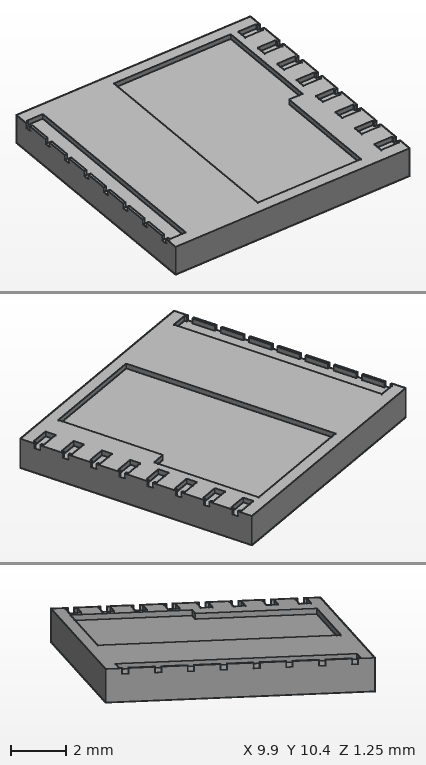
import cadquery as cq

plate_width = 9.9
plate_length = 10.38
plate_thickness = 1.25
half_length = plate_length / 2

contact_count = 8
contact_span = 8.45
contact_pitch = contact_span / (contact_count - 1)
pad_width = 0.44
recess_depth = 0.21
recess_floor_z = plate_thickness - recess_depth

lip_thickness = 0.1
notch_width = 0.24

pad_length = 0.8
trough_width = contact_span + pad_width
trough_length = 0.71

label_side_margin = 0.48
label_width = plate_width - 2 * label_side_margin
label_back_y = half_length - 1.21
label_front_y = half_length - 6.39
label_step = 0.6
label_stepped_y = label_back_y - label_step


def recess(x_centre, width, y_min, y_max):
    """Rectangular cutter from the recess floor to the top face, centred on x_centre."""
    block = cq.Workplane("XY").box(width, y_max - y_min, recess_depth, centered=(True, False, False))
    return block.translate((x_centre, y_min, recess_floor_z))


result = cq.Workplane("XY").box(
    plate_width, plate_length, plate_thickness, centered=(True, True, False)
)

label_outline = [
    (-label_width / 2, label_front_y),
    (label_width / 2, label_front_y),
    (label_width / 2, label_stepped_y),
    (0, label_stepped_y),
    (0, label_back_y),
    (-label_width / 2, label_back_y),
]
label_recess = (
    cq.Workplane("XY")
    .workplane(offset=recess_floor_z)
    .polyline(label_outline)
    .close()
    .extrude(recess_depth)
)
result = result.cut(label_recess)

trough_front_y = lip_thickness - half_length
result = result.cut(recess(0, trough_width, trough_front_y, trough_front_y + trough_length))

pad_back_y = half_length - lip_thickness
for index in range(contact_count):
    contact_x = index * contact_pitch - contact_span / 2
    result = result.cut(recess(contact_x, pad_width, pad_back_y - pad_length, pad_back_y))
    result = result.cut(recess(contact_x, notch_width, pad_back_y, half_length))
    result = result.cut(recess(contact_x, notch_width, -half_length, trough_front_y))